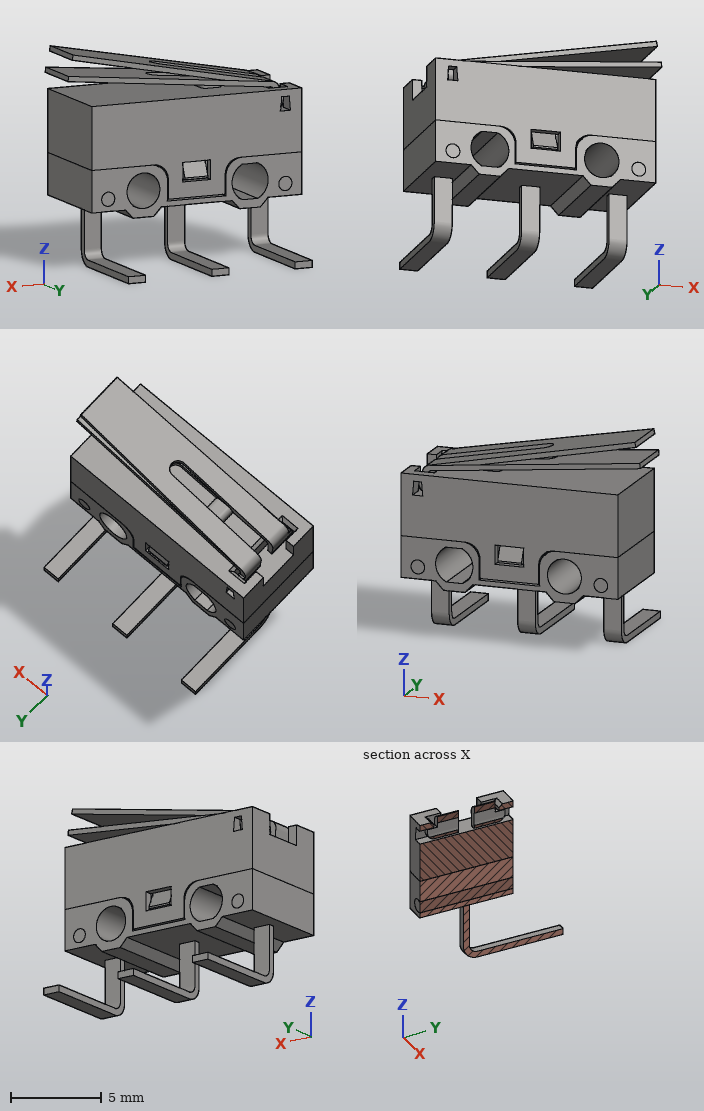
import cadquery as cq
import math


body_length = 12.8
body_width = 5.8
body_height = 6.0
split_height = 2.4
body_left = -body_length / 2
front_face = -body_width / 2

mount_x = 3.25
mount_z = 1.0
mount_diameter = 2.0
wide_mount_diameter = 2.2
tab_depth = 0.5
tab_bottom_length = 1.25
tab_slope_run = 0.47
pin_diameter = 0.8
pin_x = 5.4
pin_z = 0.7

recess_depth = 0.45
recess_bottom = 0.3
recess_half_width = 1.78
recess_radius = 0.98
tongue_radius = 0.9
tongue_side_gap = 0.05
tongue_bottom_gap = 0.1
window_width = 1.7
window_bottom = 1.3
wedge_width = 1.4
wedge_bottom = 1.4
wedge_lip = 0.1
wedge_depth = 0.4

pocket_left = -5.85
pocket_right = -4.9
pocket_half_width = 2.0
pocket_floor = 4.8
bevel_x = 0.2
bevel_y = 0.22
bevel_depth = 0.2
notch_width = 2.5
hinge_hole_left = -5.71
hinge_hole_right = -5.11
hinge_hole_top = 5.6
hinge_hole_taper = 0.07

lever_thickness = 0.3
lever_tip_x = 7.2
lever_root_half_width = 1.8
lever_tip_half_width = 1.5
leaf_angle = 5.8
free_swing = 5.54
bend_outer_radius = 0.5
bend_inner_radius = bend_outer_radius - lever_thickness
bend_x = -5.0
bend_z = 5.775
leg_left = bend_x - bend_outer_radius
leg_bottom = 4.87
pivot_x = -5.2
pivot_z = 5.2
ear_half_width = 2.4
ear_top = 5.575
ear_radius = 0.45
slot_width = 0.96
slot_end_x = 1.69

plunger_x = -1.95
plunger_length = 1.2
plunger_width = 1.6
plunger_top = 6.52
plunger_radius = 0.3

terminal_pitch = 5.08
terminal_width = 1.05
terminal_thickness = 0.4
terminal_bottom = -3.5
terminal_end_y = 6.0
terminal_outer_radius = 0.9
terminal_inner_radius = terminal_outer_radius - terminal_thickness


def box(x_min, x_max, y_min, y_max, z_min, z_max):
    """Block between the given limits."""
    size = (x_max - x_min, y_max - y_min, z_max - z_min)
    return cq.Workplane("XY").box(*size, centered=False).translate((x_min, y_min, z_min))


def across(sketch, half_width):
    """Extrude an XZ outline to both sides of the centre plane."""
    return sketch.extrude(half_width, both=True)


def cross_cylinder(x, z, diameter):
    """Cylinder along Y through the full body width."""
    return across(cq.Workplane("XZ").center(x, z).circle(diameter / 2), body_width / 2)


def both_sides(feature):
    """The feature together with its mirror copy on the opposite face."""
    return feature.union(feature.mirror("XZ"))


def snap_panel(bottom, half_width, radius):
    """Panel on the front face that flares out with a round on each side at the split plane."""
    arc_start = split_height - radius
    flare = half_width + radius
    diagonal = radius * math.sqrt(0.5)
    arc_mid_x = flare - diagonal
    arc_mid_z = arc_start + diagonal
    return (
        cq.Workplane("XZ", origin=(0, front_face, 0))
        .moveTo(-half_width, bottom)
        .lineTo(half_width, bottom)
        .lineTo(half_width, arc_start)
        .threePointArc((arc_mid_x, arc_mid_z), (flare, split_height))
        .lineTo(-flare, split_height)
        .threePointArc((-arc_mid_x, arc_mid_z), (-half_width, arc_start))
        .close()
        .extrude(-recess_depth)
    )


def make_snap_wedge():
    """Wedge on the recess floor, sloping out from the split plane down to a short lip."""
    floor_y = front_face + recess_depth
    tip_y = floor_y - wedge_depth
    return (
        cq.Workplane("YZ")
        .moveTo(floor_y, split_height)
        .lineTo(tip_y, wedge_bottom + wedge_lip)
        .lineTo(tip_y, wedge_bottom)
        .lineTo(floor_y, wedge_bottom)
        .close()
        .extrude(wedge_width / 2, both=True)
    )


def make_base():
    base = box(body_left, -body_left, front_face, -front_face, 0, split_height)
    for x in (-mount_x, mount_x):
        bottom_half = tab_bottom_length / 2
        top_half = bottom_half + tab_slope_run
        tab = cq.Workplane("XZ").polyline([
            (x - top_half, 0),
            (x - bottom_half, -tab_depth),
            (x + bottom_half, -tab_depth),
            (x + top_half, 0),
        ]).close()
        base = base.union(across(tab, body_width / 2))

    flat_band = box(
        body_left, 0, front_face, -front_face,
        mount_z - mount_diameter / 2, mount_z + mount_diameter / 2,
    )
    base = base.cut(cross_cylinder(-mount_x, mount_z, wide_mount_diameter).intersect(flat_band))
    base = base.cut(cross_cylinder(mount_x, mount_z, mount_diameter))
    for x in (-pin_x, pin_x):
        base = base.cut(cross_cylinder(x, pin_z, pin_diameter))

    base = base.cut(both_sides(snap_panel(recess_bottom, recess_half_width, recess_radius)))
    return base.union(both_sides(make_snap_wedge()))


def make_hinge_pocket():
    """Pocket with bevelled rims on its right side and both ends, open to the left by a notch."""
    pocket = box(
        pocket_left, pocket_right, -pocket_half_width, pocket_half_width, pocket_floor, body_height
    )
    bevel_bottom = body_height - bevel_depth
    rim_half_width = pocket_half_width + bevel_y
    rim_along_x = across(
        cq.Workplane("XZ").polyline([
            (pocket_left, bevel_bottom),
            (pocket_right, bevel_bottom),
            (pocket_right + bevel_x, body_height),
            (pocket_left, body_height),
        ]).close(),
        rim_half_width,
    )
    rim_across_y = (
        cq.Workplane("YZ", origin=(pocket_left, 0, 0))
        .polyline([
            (-pocket_half_width, bevel_bottom),
            (pocket_half_width, bevel_bottom),
            (rim_half_width, body_height),
            (-rim_half_width, body_height),
        ])
        .close()
        .extrude(pocket_right + bevel_x - pocket_left)
    )
    notch = box(body_left, pocket_left, -notch_width / 2, notch_width / 2, pocket_floor, body_height)
    return pocket.union(rim_along_x.intersect(rim_across_y)).union(notch)


def make_cover():
    cover = box(body_left, -body_left, front_face, -front_face, split_height, body_height)
    tongue = snap_panel(
        recess_bottom + tongue_bottom_gap, recess_half_width - tongue_side_gap, tongue_radius
    )
    window = box(
        -window_width / 2, window_width / 2,
        front_face, front_face + recess_depth,
        window_bottom, split_height,
    )
    cover = cover.union(both_sides(tongue.cut(window)))
    cover = cover.cut(make_hinge_pocket())

    hinge_hole = cq.Workplane("XZ").polyline([
        (hinge_hole_left, pocket_floor),
        (hinge_hole_right, pocket_floor),
        (hinge_hole_right - hinge_hole_taper, hinge_hole_top),
        (hinge_hole_left + hinge_hole_taper, hinge_hole_top),
    ]).close()
    return cover.cut(across(hinge_hole, body_width / 2))


def make_leaf():
    """Slotted, tapered leaf in its pressed position, bent down at the left into two eared legs."""
    slope = math.radians(leaf_angle)
    along = (math.cos(slope), math.sin(slope))
    leaf_length = (lever_tip_x - bend_x + bend_inner_radius * along[1]) / along[0]

    def on_bend(radius, angle):
        return (bend_x + radius * math.cos(angle), bend_z + radius * math.sin(angle))

    def at_tip(radius):
        root = on_bend(radius, leaf_start)
        return (root[0] + leaf_length * along[0], root[1] + leaf_length * along[1])

    leaf_start = slope + math.pi / 2
    bend_middle = (leaf_start + math.pi) / 2
    profile = (
        cq.Workplane("XZ")
        .moveTo(leg_left, leg_bottom)
        .lineTo(leg_left, bend_z)
        .threePointArc(on_bend(bend_outer_radius, bend_middle), on_bend(bend_outer_radius, leaf_start))
        .lineTo(*at_tip(bend_outer_radius))
        .lineTo(*at_tip(bend_inner_radius))
        .lineTo(*on_bend(bend_inner_radius, leaf_start))
        .threePointArc(
            on_bend(bend_inner_radius, bend_middle), on_bend(bend_inner_radius, math.pi)
        )
        .lineTo(leg_left + lever_thickness, leg_bottom)
        .close()
    )
    plan = (
        cq.Workplane("XY")
        .polyline([
            (leg_left, -lever_root_half_width),
            (bend_x, -lever_root_half_width),
            (lever_tip_x, -lever_tip_half_width),
            (lever_tip_x, lever_tip_half_width),
            (bend_x, lever_root_half_width),
            (leg_left, lever_root_half_width),
        ])
        .close()
        .extrude(2 * body_height)
    )
    leaf = across(profile, lever_root_half_width).intersect(plan)

    ears = box(
        leg_left, leg_left + lever_thickness, -ear_half_width, ear_half_width, leg_bottom, ear_top
    )
    leaf = leaf.union(ears.edges("|X and <Z").fillet(ear_radius))

    slot_arc_x = slot_end_x - slot_width / 2
    slot = (
        cq.Workplane("XY")
        .moveTo(leg_left, -slot_width / 2)
        .lineTo(slot_arc_x, -slot_width / 2)
        .threePointArc((slot_end_x, 0), (slot_arc_x, slot_width / 2))
        .lineTo(leg_left, slot_width / 2)
        .close()
        .extrude(2 * body_height)
    )
    return leaf.cut(slot)


def make_lever():
    """Pressed and free leaves joined at the hinge, one turned about the ears from the other."""
    pressed_leaf = make_leaf()
    free_leaf = pressed_leaf.rotate((pivot_x, 0, pivot_z), (pivot_x, -1, pivot_z), free_swing)
    return pressed_leaf.union(free_leaf)


def make_plunger(lever):
    """Rounded button on the cover; its crown fills the lever slot between the arms."""
    button = box(
        plunger_x - plunger_length / 2, plunger_x + plunger_length / 2,
        -plunger_width / 2, plunger_width / 2,
        body_height, plunger_top,
    )
    button = button.edges("|Z").fillet(plunger_radius)
    top_round = across(
        cq.Workplane("XZ")
        .center(plunger_x, body_height)
        .rect(plunger_length, 2 * (plunger_top - body_height)),
        plunger_width / 2,
    )
    top_round = top_round.edges("|Y and >Z").fillet(plunger_radius)
    return button.intersect(top_round).cut(lever)


def make_terminal(x):
    """Flat pin that drops from the base and bends back toward +Y."""
    front = -terminal_thickness / 2
    back = terminal_thickness / 2
    return (
        cq.Workplane("YZ", origin=(x, 0, 0))
        .moveTo(front, 0)
        .lineTo(front, terminal_bottom + terminal_outer_radius)
        .radiusArc((front + terminal_outer_radius, terminal_bottom), -terminal_outer_radius)
        .lineTo(terminal_end_y, terminal_bottom)
        .lineTo(terminal_end_y, terminal_bottom + terminal_thickness)
        .lineTo(back + terminal_inner_radius, terminal_bottom + terminal_thickness)
        .radiusArc((back, terminal_bottom + terminal_outer_radius), terminal_inner_radius)
        .lineTo(back, 0)
        .close()
        .extrude(terminal_width / 2, both=True)
    )


base = make_base()
cover = make_cover()
lever = make_lever()
plunger = make_plunger(lever)
rivet_pins = [cross_cylinder(x, pin_z, pin_diameter) for x in (-pin_x, pin_x)]
terminals = [make_terminal(x) for x in (-terminal_pitch, 0, terminal_pitch)]

result = cq.Compound.makeCompound([
    base.val(),
    cover.val(),
    lever.val(),
    plunger.val(),
    *[pin.val() for pin in rivet_pins],
    *[terminal.val() for terminal in terminals],
])